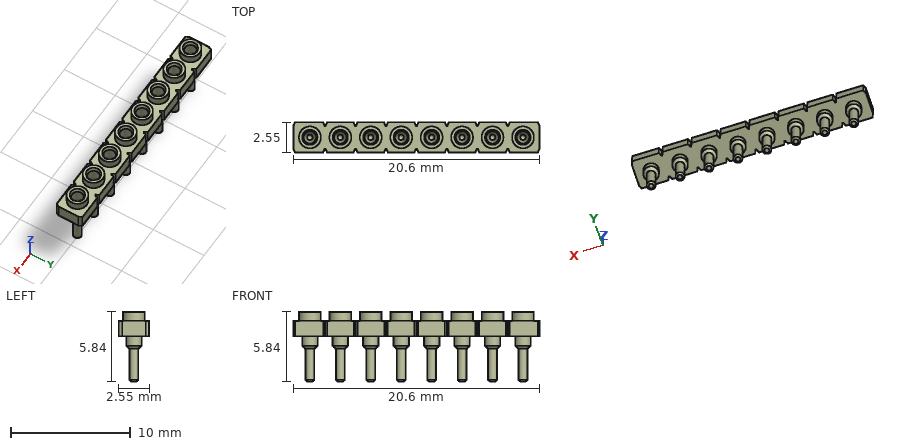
import cadquery as cq

housing_length = 20.55
housing_width = 2.55
housing_height = 1.27
end_bevel_x = 0.15
corner_depth = 0.3
notch_mouth = 0.33
notch_floor = 0.06

pin_count = 8
end_margin = 0.113
pitch = (housing_length - 2 * end_margin) / pin_count
first_pin_x = -pitch * (pin_count - 1) / 2

head_dia = 1.83
body_dia = 1.32
tail_dia = 0.76
tip_dia = 0.41

total_height = 5.84
head_height = 0.76
body_below_housing = 0.78
shoulder_height = (body_dia - tail_dia) / 2
tip_height = (tail_dia - tip_dia) / 2

housing_top = total_height - head_height
housing_bottom = housing_top - housing_height
body_bottom = housing_bottom - body_below_housing
shoulder_bottom = body_bottom - shoulder_height

mouth_dia = 1.27
throat_dia = 1.05
mouth_depth = 0.29
bore_depth = 1.03
funnel_dia = 0.45
funnel_depth = 1.23
drill_point_depth = 0.12

throat_z = total_height - mouth_depth
bore_bottom_z = throat_z - bore_depth
funnel_z = bore_bottom_z - funnel_depth
drill_point_z = funnel_z - drill_point_depth


def pin_x(index):
    return first_pin_x + index * pitch


def extrude_through_housing(outline):
    """Prism over the full height of the housing from a closed XY outline."""
    base = cq.Workplane("XY").workplane(offset=housing_bottom)
    return base.polyline(outline).close().extrude(housing_height)


def make_notch(x, side):
    """Tapered vertical notch in the long wall on the given side (+1 or -1)."""
    wall_y = side * housing_width / 2
    floor_y = wall_y - side * corner_depth
    outline = [
        (x - notch_mouth / 2, wall_y),
        (x - notch_floor / 2, floor_y),
        (x + notch_floor / 2, floor_y),
        (x + notch_mouth / 2, wall_y),
    ]
    return extrude_through_housing(outline)


def make_housing():
    """Strip with bevelled corners, notches between the pins and a bore for each pin."""
    half_length = housing_length / 2
    half_width = housing_width / 2
    flat_x = half_length - end_bevel_x
    flat_y = half_width - corner_depth
    outline = [
        (-half_length, -flat_y),
        (-flat_x, -half_width),
        (flat_x, -half_width),
        (half_length, -flat_y),
        (half_length, flat_y),
        (flat_x, half_width),
        (-flat_x, half_width),
        (-half_length, flat_y),
    ]
    housing = extrude_through_housing(outline)
    for gap in range(pin_count - 1):
        for side in (-1, 1):
            housing = housing.cut(make_notch(pin_x(gap) + pitch / 2, side))
    bore_centres = [(pin_x(i), 0) for i in range(pin_count)]
    top_face = housing.faces(">Z").workplane(origin=(0, 0, housing_top))
    return top_face.pushPoints(bore_centres).hole(body_dia)


def make_pin(x):
    """Turned pin: the half section, contact opening included, revolved about its axis."""
    half_section = [
        (0, 0),
        (tip_dia / 2, 0),
        (tail_dia / 2, tip_height),
        (tail_dia / 2, shoulder_bottom),
        (body_dia / 2, body_bottom),
        (body_dia / 2, housing_top),
        (head_dia / 2, housing_top),
        (head_dia / 2, total_height),
        (mouth_dia / 2, total_height),
        (throat_dia / 2, throat_z),
        (throat_dia / 2, bore_bottom_z),
        (funnel_dia / 2, funnel_z),
        (0, drill_point_z),
    ]
    pin = cq.Workplane("XZ").polyline(half_section).close().revolve(360, (0, 0, 0), (0, 1, 0))
    return pin.translate((x, 0, 0))


housing = make_housing()
pins = [make_pin(pin_x(i)) for i in range(pin_count)]

result = cq.Compound.makeCompound([housing.val(), *[pin.val() for pin in pins]])